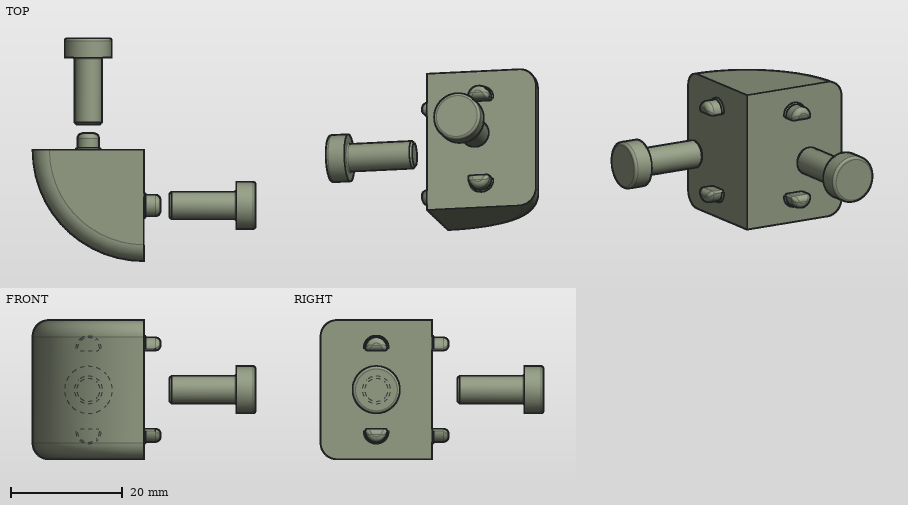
import cadquery as cq

block_radius = 20.0
block_height = 25.0
block_edge_radius = 3.0

peg_radius = 1.95
peg_flat_height = 7.0
peg_axis_offset = 0.45
peg_axis_height = peg_flat_height + peg_axis_offset
peg_flat_edge_radius = 0.4
peg_length = 3.0
peg_tip_radius = 1.0
peg_root_radius = 0.3

face_center = block_radius / 2

shank_diameter = 5.0
shank_length = 12.0
tip_diameter = 4.13
tip_chamfer = (shank_diameter - tip_diameter) / 2
neck_radius = 0.25
head_diameter = 8.5
head_height = 3.5
head_edge_radius = 0.5
screw_standoff = 4.5


def swap_x_and_y(body):
    """Carry a body from the X = 0 mating face to the Y = 0 mating face."""
    return body.mirror(cq.Vector(1, -1, 0))


def make_quarter_block():
    """Quarter cylinder with its curved top and bottom edges rounded."""
    block = (
        cq.Workplane("XY", origin=(0, 0, -block_height / 2))
        .lineTo(-block_radius, 0)
        .radiusArc((0, -block_radius), -block_radius)
        .close()
        .extrude(block_height)
    )
    return block.edges("%CIRCLE").fillet(block_edge_radius)


def make_peg():
    """Upper peg on the X = 0 mating face, with a flare round the root of its back."""
    axis_start = (0, -face_center, peg_axis_height)
    cylinder = cq.Workplane("YZ", origin=axis_start).circle(peg_radius).extrude(peg_length)
    below_flat = (
        cq.Workplane("XY", origin=(0, -face_center, peg_flat_height))
        .rect(3 * peg_length, 3 * peg_radius)
        .extrude(-peg_radius)
    )
    peg = cylinder.cut(below_flat)
    peg = peg.edges("|X and <Z").fillet(peg_flat_edge_radius)
    peg = peg.faces(">X").edges().fillet(peg_tip_radius)

    root_flare = (
        cq.Workplane("XY", origin=axis_start)
        .moveTo(0, -peg_radius / 2)
        .lineTo(0, -peg_radius - peg_root_radius)
        .radiusArc((peg_root_radius, -peg_radius), -peg_root_radius)
        .lineTo(peg_root_radius, -peg_radius / 2)
        .close()
        .revolve(180, (0, 0, 0), (-1, 0, 0))
    )
    return peg.union(root_flare)


def make_connector():
    """Quarter block with two pegs on each mating face."""
    connector = make_quarter_block()
    upper_peg = make_peg()
    for peg in (upper_peg, upper_peg.mirror("XY")):
        connector = connector.union(peg).union(swap_x_and_y(peg))
    return connector.solids()


def make_screw():
    """Screw facing the X = 0 mating face, head outwards, turned from half its profile."""
    tip_x = screw_standoff
    seat_x = tip_x + shank_length
    end_x = seat_x + head_height
    shank_radius = shank_diameter / 2
    head_radius = head_diameter / 2
    profile = (
        cq.Workplane("XY", origin=(0, -face_center, 0))
        .moveTo(tip_x, 0)
        .lineTo(tip_x, tip_diameter / 2)
        .lineTo(tip_x + tip_chamfer, shank_radius)
        .lineTo(seat_x - neck_radius, shank_radius)
        .radiusArc((seat_x, shank_radius + neck_radius), -neck_radius)
        .lineTo(seat_x, head_radius)
        .lineTo(end_x - head_edge_radius, head_radius)
        .radiusArc((end_x, head_radius - head_edge_radius), head_edge_radius)
        .lineTo(end_x, 0)
        .close()
    )
    return profile.revolve(360, (0, 0, 0), (1, 0, 0))


connector = make_connector()
screw = make_screw()
screws = [screw, swap_x_and_y(screw)]

result = cq.Compound.makeCompound([connector.val()] + [body.val() for body in screws])